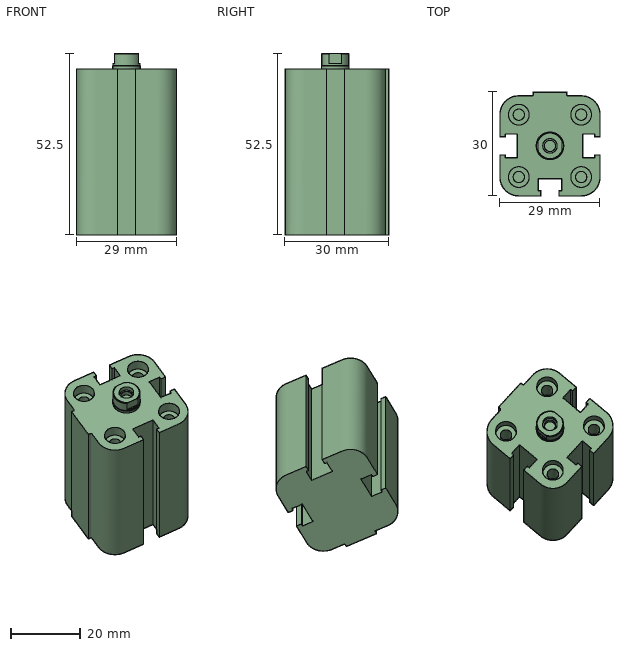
import cadquery as cq

total_height = 52.5
housing_height = 48.0
housing_width = 29.0
corner_radius = 5.45
half_width = housing_width / 2

rib_width = 9.75
rib_height = 1.0
rib_root_radius = 0.25

slot_mouth_width = 5.2
slot_inner_width = 6.7
slot_depth = 5.0
slot_lip_thickness = 1.6

hole_spacing = 18.0
counterbore_diameter = 6.0
counterbore_depth = 3.55
mounting_hole_diameter = 3.25
mounting_hole_depth = 12.5

rod_diameter = 8.0
rod_shoulder_height = 1.05
rod_shoulder_bevel_height = 0.15
rod_tip_diameter = 7.8
rod_tip_chamfer = 0.2
flats_width = 7.0
flats_height = 2.95
rod_recess_diameter = 4.2
rod_recess_depth = 1.5
rod_bore_diameter = 3.25
rod_bore_depth = 3.15


def make_t_slot(angle):
    """T-shaped cutter for the front face, turned about the rod axis by the given angle."""
    mouth = cq.Workplane("XY").box(
        slot_mouth_width, slot_depth, housing_height, centered=(True, False, False)
    )
    inner = cq.Workplane("XY").box(
        slot_inner_width, slot_depth - slot_lip_thickness, housing_height, centered=(True, False, False)
    ).translate((0, slot_lip_thickness, 0))
    slot = mouth.union(inner).translate((0, -half_width, 0))
    return slot.rotate((0, 0, 0), (0, 0, 1), angle)


def make_rib():
    """Rib on the back face, with concave fillets where it meets the face."""
    half_rib = rib_width / 2
    rib_top = half_width + rib_height
    fillet_top = half_width + rib_root_radius
    return (
        cq.Workplane("XY")
        .moveTo(-half_rib, rib_top)
        .lineTo(half_rib, rib_top)
        .lineTo(half_rib, fillet_top)
        .radiusArc((half_rib + rib_root_radius, half_width), -rib_root_radius)
        .lineTo(half_rib, half_width - rib_height)
        .lineTo(-half_rib, half_width - rib_height)
        .lineTo(-half_rib - rib_root_radius, half_width)
        .radiusArc((-half_rib, fillet_top), -rib_root_radius)
        .close()
        .extrude(housing_height)
    )


def make_housing():
    """Square profile with rounded corners, a back rib, three T-slots and four mounting holes."""
    housing = (
        cq.Workplane("XY")
        .rect(housing_width, housing_width)
        .extrude(housing_height)
        .edges("|Z")
        .fillet(corner_radius)
        .union(make_rib())
    )
    for angle in (-90, 0, 90):
        housing = housing.cut(make_t_slot(angle))
    return (
        housing.faces(">Z")
        .workplane(origin=(0, 0, housing_height))
        .rect(hole_spacing, hole_spacing, forConstruction=True)
        .vertices()
        .cboreHole(mounting_hole_diameter, counterbore_diameter, counterbore_depth, mounting_hole_depth)
    )


def make_rod():
    """Stepped rod standing on the housing, with two wrench flats and a recessed bore."""
    rod_height = total_height - housing_height
    tip_height = rod_height - rod_shoulder_height
    bevel_width = (rod_diameter - rod_tip_diameter) / 2
    shoulder = (
        cq.Workplane("XY")
        .circle(rod_diameter / 2)
        .extrude(rod_shoulder_height)
        .faces(">Z")
        .edges()
        .chamfer(rod_shoulder_bevel_height, bevel_width)
    )
    tip = (
        cq.Workplane("XY")
        .workplane(offset=rod_shoulder_height)
        .circle(rod_tip_diameter / 2)
        .extrude(tip_height)
        .faces(">Z")
        .chamfer(rod_tip_chamfer)
    )
    rod = shoulder.union(tip)
    for side in (-1, 1):
        flat_cutter = cq.Workplane("XY").box(
            rod_diameter, rod_diameter, flats_height, centered=(True, True, False)
        )
        flat_offset = side * (flats_width + rod_diameter) / 2
        rod = rod.cut(flat_cutter.translate((flat_offset, 0, rod_height - flats_height)))
    rod = (
        rod.faces(">Z")
        .workplane(origin=(0, 0, rod_height))
        .cboreHole(rod_bore_diameter, rod_recess_diameter, rod_recess_depth, rod_bore_depth)
    )
    return rod.translate((0, 0, housing_height))


housing = make_housing()
rod = make_rod()

result = cq.Compound.makeCompound([housing.val(), rod.val()])